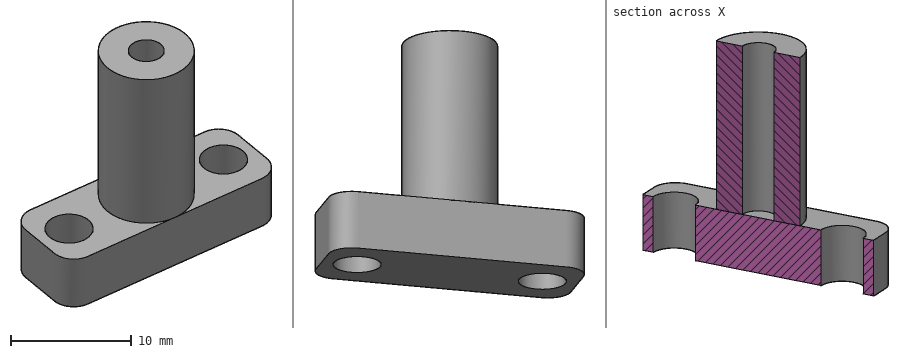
import cadquery as cq

plate_length = 22.0
plate_width = 8.0
plate_thickness = 5.0
corner_radius = plate_width / 4

mount_hole_diameter = plate_width / 2
mount_hole_spacing = 16.0

post_diameter = plate_width
post_height = 15.0
bore_diameter = 3.0


def make_plate():
    """Plate with rounded corners and two mounting holes, its underside at Z = 0."""
    blank = (
        cq.Workplane("XY")
        .rect(plate_width, plate_length)
        .extrude(plate_thickness)
        .edges("|Z")
        .fillet(corner_radius)
    )
    return (
        blank.faces(">Z")
        .workplane()
        .rarray(0.22, mount_hole_spacing, 1, 2)
        .hole(mount_hole_diameter)
    )


def make_post():
    """Round post standing on the plate; its bore ends at the top of the plate."""
    return (
        cq.Workplane("XY")
        .workplane(offset=plate_thickness)
        .circle(post_diameter / 2)
        .circle(bore_diameter / 2)
        .extrude(post_height)
    )


plate = make_plate()
post = make_post()

result = cq.Compound.makeCompound([plate.val(), post.val()])